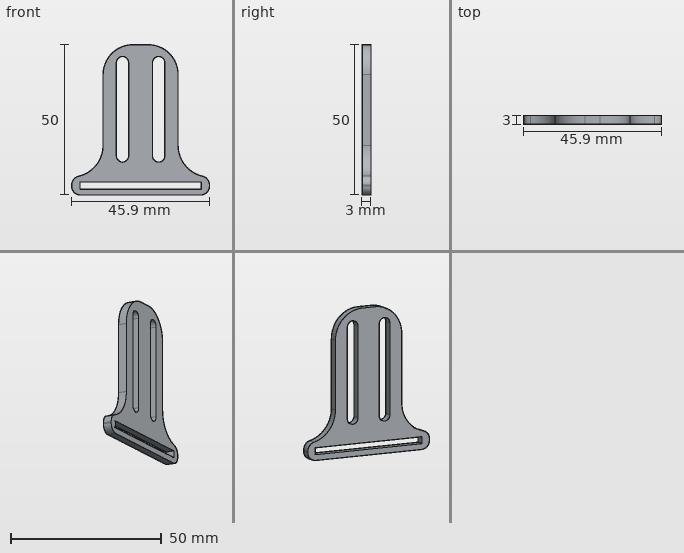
import cadquery as cq
import math

thickness = 3.0
height = 50.0
base_width = 45.85
body_width = 25.0
top_radius = 10.0
foot_radius = 3.1
foot_lower_radius = 3.0
foot_side_height = 0.3
flare_radius = 10.4

slot_width = 4.0
slot_spacing = 12.0
slot_bottom = 11.0
slot_top = 46.0
strap_slot_width = 40.2
strap_slot_bottom = 2.0
strap_slot_height = 2.3

half_body = body_width / 2
foot_x = base_width / 2 - foot_radius
foot_z = foot_lower_radius + foot_side_height
flare_x = half_body + flare_radius
center_distance = flare_radius + foot_radius
flare_z = foot_z + math.sqrt(center_distance**2 - (flare_x - foot_x) ** 2)
join_angle = math.atan2(flare_z - foot_z, flare_x - foot_x)


def foot_point(angle):
    """Point on the right foot's upper round."""
    return (
        foot_x + foot_radius * math.cos(angle),
        foot_z + foot_radius * math.sin(angle),
    )


def flare_point(angle):
    """Point on the right flare's concave arc."""
    return (
        flare_x + flare_radius * math.cos(angle),
        flare_z + flare_radius * math.sin(angle),
    )


def mirrored(point):
    return (-point[0], point[1])


def make_plate():
    half_base = base_width / 2
    base_end = (half_base - foot_lower_radius, 0)
    lower_diagonal = foot_lower_radius * math.sqrt(0.5)
    lower_middle = (base_end[0] + lower_diagonal, foot_lower_radius - lower_diagonal)
    side_start = (half_base, foot_lower_radius)
    side_end = (half_base, foot_z)
    foot_middle = foot_point(join_angle / 2)
    foot_end = foot_point(join_angle)

    flare_middle = flare_point(math.pi + join_angle / 2)
    flare_end = (half_body, flare_z)
    top_start = (half_body, height - top_radius)
    top_center_x = half_body - top_radius
    diagonal = top_radius * math.sqrt(0.5)
    top_middle = (top_center_x + diagonal, height - top_radius + diagonal)
    top_end = (top_center_x, height)

    return (
        cq.Workplane("XZ")
        .moveTo(*mirrored(base_end))
        .lineTo(*base_end)
        .threePointArc(lower_middle, side_start)
        .lineTo(*side_end)
        .threePointArc(foot_middle, foot_end)
        .threePointArc(flare_middle, flare_end)
        .lineTo(*top_start)
        .threePointArc(top_middle, top_end)
        .lineTo(*mirrored(top_end))
        .threePointArc(mirrored(top_middle), mirrored(top_start))
        .lineTo(*mirrored(flare_end))
        .threePointArc(mirrored(flare_middle), mirrored(foot_end))
        .threePointArc(mirrored(foot_middle), mirrored(side_end))
        .lineTo(*mirrored(side_start))
        .threePointArc(mirrored(lower_middle), mirrored(base_end))
        .close()
        .extrude(thickness)
    )


def make_adjustment_slots():
    slot_middle = (slot_bottom + slot_top) / 2
    return (
        cq.Workplane("XZ")
        .pushPoints([(side * slot_spacing / 2, slot_middle) for side in (-1, 1)])
        .slot2D(slot_top - slot_bottom, slot_width, 90)
        .extrude(thickness)
    )


def make_strap_slot():
    return (
        cq.Workplane("XZ")
        .center(0, strap_slot_bottom + strap_slot_height / 2)
        .rect(strap_slot_width, strap_slot_height)
        .extrude(thickness)
    )


result = make_plate().cut(make_adjustment_slots()).cut(make_strap_slot())